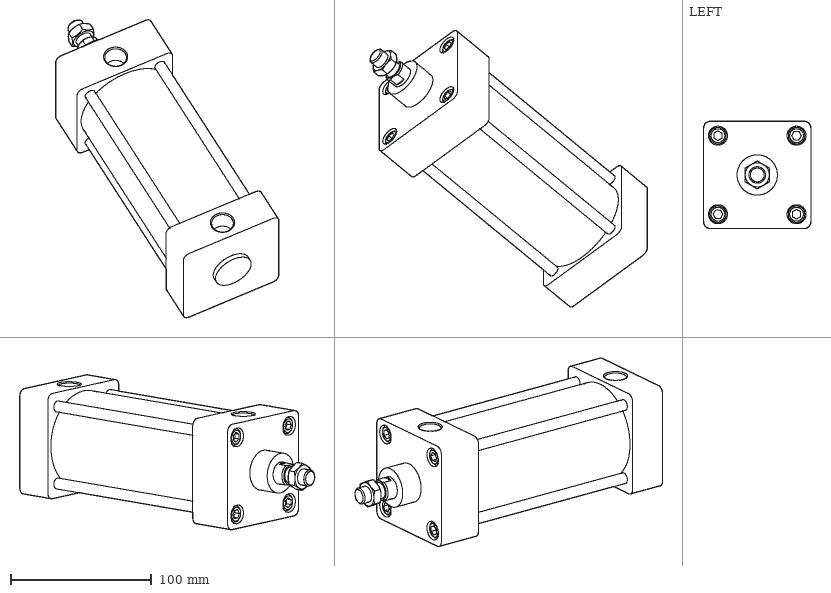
import cadquery as cq
import math

total_length = 244.5
tip_x = -total_length / 2

cap_side = 76.3
cap_corner_radius = 5.0
front_cap_x = tip_x + 44.5
front_cap_length = 33.0
barrel_length = 137.0
rear_cap_length = 26.6
barrel_x = front_cap_x + front_cap_length
rear_cap_x = barrel_x + barrel_length
rear_face_x = rear_cap_x + rear_cap_length
barrel_diameter = 70.0

boss_diameter = 28.5
front_boss_length = 16.5
front_boss_x = front_cap_x - front_boss_length
rear_boss_length = total_length / 2 - rear_face_x

port_diameter = 15.5
port_chamfer = 0.85
port_depth = 14.7
front_port_x = front_cap_x + 18.8
rear_port_x = rear_cap_x + 13.5

rod_diameter = 16.0
thread_diameter = 11.7
thread_length = 18.8
thread_tip_chamfer = 1.0
rod_shoulder_chamfer = 1.0
wrench_flat_width = 14.2
wrench_flat_length = 7.0
shoulder_x = tip_x + thread_length

nut_x = tip_x + 6.8
nut_thickness = 6.8
nut_across_flats = 17.0
nut_front_face_diameter = 17.0
nut_rear_face_diameter = 16.0
nut_chamfer_angle = 30.0

corners_up_angle = 90.0

screw_offset = 27.9
screw_shank_diameter = 7.8
screw_head_diameter = 11.7
screw_head_length = 7.8
screw_head_chamfer = 1.0
screw_recess = 1.0
counterbore_diameter = 13.5
socket_corner_diameter = 6.8
socket_depth = 4.0
rear_thread_depth = 14.7
screw_head_x = front_cap_x + screw_recess
counterbore_depth = screw_recess + screw_head_length
shank_end_x = rear_cap_x + rear_thread_depth
screw_places = [
    (y_side * screw_offset, z_side * screw_offset, corners_up_angle if y_side == z_side else 0.0)
    for y_side in (-1, 1)
    for z_side in (-1, 1)
]


def round_bar(start_x, end_x, diameter, y=0.0, z=0.0):
    """Round bar parallel to X between two axial positions."""
    plane = cq.Workplane("YZ", origin=(start_x, y, z))
    return plane.circle(diameter / 2).extrude(end_x - start_x)


def cap_block(start_x, length):
    """Square block with its four long edges rounded."""
    block = cq.Workplane("YZ", origin=(start_x, 0, 0)).rect(cap_side, cap_side).extrude(length)
    return block.edges("|X").fillet(cap_corner_radius)


def port_cutter(x):
    """Blind port with a chamfered mouth, entering from the +Z cap face."""
    top = cap_side / 2
    radius = port_diameter / 2
    profile = cq.Workplane("XZ", origin=(x, 0, 0)).polyline([
        (0, top - port_depth),
        (radius, top - port_depth),
        (radius, top - port_chamfer),
        (radius + port_chamfer, top),
        (0, top),
    ]).close()
    return profile.revolve(360, (0, 0, 0), (0, 1, 0))


def make_front_cap():
    cap = cap_block(front_cap_x, front_cap_length)
    cap = cap.union(round_bar(front_boss_x, front_cap_x, boss_diameter))
    cap = cap.cut(port_cutter(front_port_x))
    cap = cap.cut(round_bar(front_boss_x, barrel_x, rod_diameter))
    for y, z, _ in screw_places:
        cap = cap.cut(round_bar(front_cap_x, barrel_x, screw_shank_diameter, y, z))
        counterbore_end = front_cap_x + counterbore_depth
        cap = cap.cut(round_bar(front_cap_x, counterbore_end, counterbore_diameter, y, z))
    return cap


def make_rear_cap():
    cap = cap_block(rear_cap_x, rear_cap_length)
    cap = cap.union(round_bar(rear_face_x, rear_face_x + rear_boss_length, boss_diameter))
    cap = cap.cut(port_cutter(rear_port_x))
    for y, z, _ in screw_places:
        cap = cap.cut(round_bar(rear_cap_x, shank_end_x, screw_shank_diameter, y, z))
    return cap


def make_barrel():
    return round_bar(barrel_x, rear_cap_x, barrel_diameter)


def make_piston_rod():
    thread = round_bar(tip_x, shoulder_x, thread_diameter).faces("<X").chamfer(thread_tip_chamfer)
    shank = round_bar(shoulder_x, barrel_x, rod_diameter).faces("<X").chamfer(rod_shoulder_chamfer)
    flat_centre_x = shoulder_x + wrench_flat_length / 2
    flat_depth = (rod_diameter - wrench_flat_width) / 2
    flat_cutter = cq.Workplane("XY").box(wrench_flat_length, rod_diameter, flat_depth)
    for side in (-1, 1):
        flat_centre_z = side * (wrench_flat_width + flat_depth) / 2
        shank = shank.cut(flat_cutter.translate((flat_centre_x, 0, flat_centre_z)))
    return shank.union(thread)


def make_nut():
    """Hexagon nut with corners up and down, its corners bevelled on both faces."""
    corner_diameter = nut_across_flats / math.cos(math.pi / 6)
    hexagon = cq.Workplane("YZ", origin=(nut_x, 0, 0)).polygon(6, corner_diameter).extrude(nut_thickness)
    hexagon = hexagon.rotate((0, 0, 0), (1, 0, 0), corners_up_angle)
    corner_radius = corner_diameter / 2
    front_radius = nut_front_face_diameter / 2
    rear_radius = nut_rear_face_diameter / 2
    bevel_slope = math.tan(math.radians(nut_chamfer_angle))
    nut_end_x = nut_x + nut_thickness
    envelope = cq.Workplane("XY").polyline([
        (nut_x, 0),
        (nut_x, front_radius),
        (nut_x + (corner_radius - front_radius) * bevel_slope, corner_radius),
        (nut_end_x - (corner_radius - rear_radius) * bevel_slope, corner_radius),
        (nut_end_x, rear_radius),
        (nut_end_x, 0),
    ]).close().revolve(360, (0, 0, 0), (1, 0, 0))
    nut = hexagon.intersect(envelope)
    return nut.cut(round_bar(nut_x, nut_end_x, thread_diameter))


def make_tie_screw(y, z, socket_angle):
    """Long socket-head screw that clamps the barrel between the caps."""
    head_end_x = screw_head_x + screw_head_length
    head = round_bar(screw_head_x, head_end_x, screw_head_diameter)
    head = head.faces("<X").chamfer(screw_head_chamfer)
    socket = cq.Workplane("YZ", origin=(screw_head_x, 0, 0)).polygon(6, socket_corner_diameter)
    socket = socket.extrude(socket_depth).rotate((0, 0, 0), (1, 0, 0), socket_angle)
    shank = round_bar(head_end_x, shank_end_x, screw_shank_diameter)
    return head.cut(socket).union(shank).translate((0, y, z))


front_cap = make_front_cap()
rear_cap = make_rear_cap()
barrel = make_barrel()
piston_rod = make_piston_rod()
nut = make_nut()
tie_screws = [make_tie_screw(y, z, socket_angle) for y, z, socket_angle in screw_places]

result = cq.Compound.makeCompound([
    front_cap.val(),
    rear_cap.val(),
    barrel.val(),
    piston_rod.val(),
    nut.val(),
    *[screw.val() for screw in tie_screws],
])